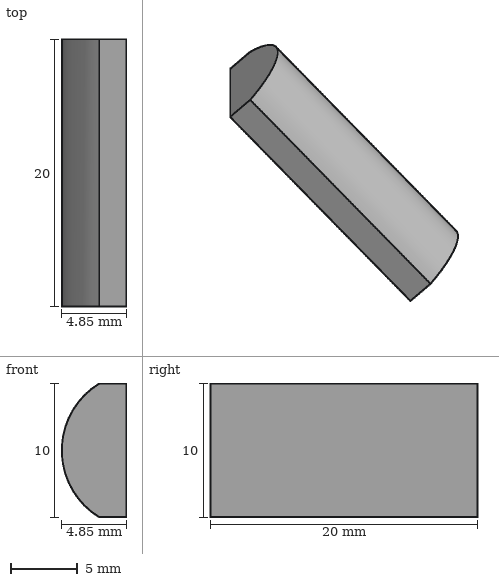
import cadquery as cq

length = 20.0
height = 10.0
depth = 4.85
flat_depth = 2.05

back_x = depth / 2
crown_x = -depth / 2
shoulder_x = back_x - flat_depth
half_height = height / 2

result = (
    cq.Workplane("XZ")
    .moveTo(back_x, -half_height)
    .lineTo(back_x, half_height)
    .lineTo(shoulder_x, half_height)
    .threePointArc((crown_x, 0), (shoulder_x, -half_height))
    .close()
    .extrude(length / 2, both=True)
)